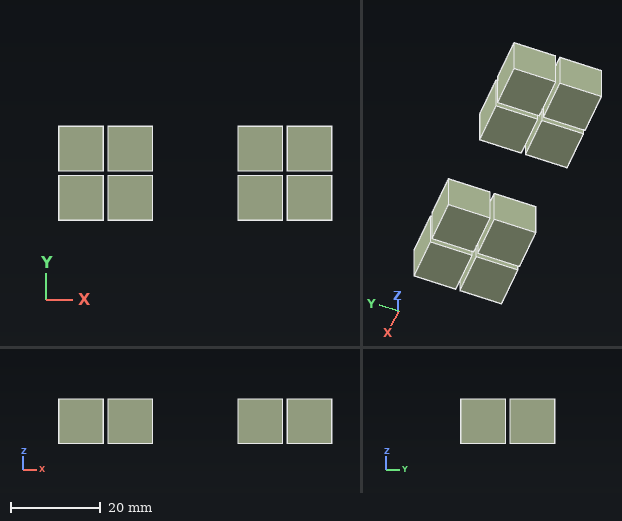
import cadquery as cq

overall_length = 61.0
cube_side = 10.0
cube_gap = 1.0

cube_pitch = cube_side + cube_gap
group_width = cube_pitch + cube_side
group_pitch = overall_length - group_width


def make_cube(x_center, y_center):
    """One cube standing on the XY plane."""
    return (
        cq.Workplane("XY")
        .center(x_center, y_center)
        .box(cube_side, cube_side, cube_side, centered=(True, True, False))
    )


cubes = []
for group_side in (-1, 1):
    for x_side in (-1, 1):
        for y_side in (-1, 1):
            x_center = group_side * group_pitch / 2 + x_side * cube_pitch / 2
            y_center = y_side * cube_pitch / 2
            cubes.append(make_cube(x_center, y_center).val())

result = cq.Compound.makeCompound(cubes)